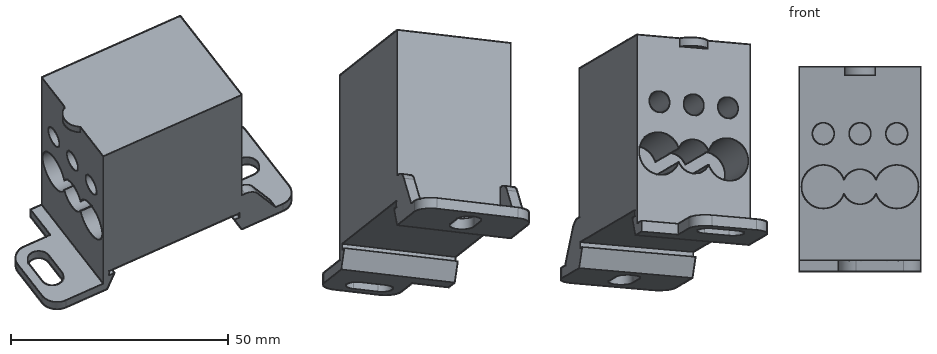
import cadquery as cq

width = 28.0
length = 66.0
height = 47.2
center_x = width / 2

front_wall_y = 14.0
back_wall_y = 51.0
foot_thickness = 2.6
foot_corner_radius = 4.0
notch_width = 9.0
notch_depth = 11.0

channel_center_y = length / 2
channel_height = 6.0
channel_half_length = 17.4
lip_height = 4.55
lip_half_opening = 16.0
mouth_half_opening = 17.95

rib_thickness = 2.6
rib_height = 12.0
rib_foot_y = 60.0
rib_crest_y = 54.05
rib_round_radius = 4.0

back_slot_length = 10.15
back_slot_width = 5.75
back_slot_y = 58.35
front_slot_length = 11.3
front_slot_width = 5.2
front_slot_x = 17.15
front_slot_y = 4.95

bore_pitch = 8.45
bore_depth = 15.0
screw_diameter = 5.0
screw_z = 31.75
cable_z = 19.55
outer_cable_diameter = 10.0
middle_cable_diameter = 8.05

tab_radius = 4.0
tab_projection = 2.0
tab_height = 2.0


def box(x, y, z, size_x, size_y, size_z):
    """Box with its lowest corner at (x, y, z)."""
    return cq.Workplane("XY").box(size_x, size_y, size_z, centered=False).translate((x, y, z))


def make_base_plate():
    plate = box(0, 0, 0, width, length, foot_thickness)
    plate = plate.cut(box(0, 0, 0, notch_width, notch_depth, foot_thickness))
    plate = plate.edges("|Z and (<Y or >Y)").fillet(foot_corner_radius)
    slots = (
        cq.Workplane("XY").center(center_x, back_slot_y)
        .slot2D(back_slot_length, back_slot_width, 90).extrude(foot_thickness)
    )
    front_slot = (
        cq.Workplane("XY").center(front_slot_x, front_slot_y)
        .slot2D(front_slot_length, front_slot_width).extrude(foot_thickness)
    )
    return plate.cut(slots.union(front_slot))


def make_rib(start_x):
    outline = [
        (back_wall_y, 0),
        (rib_foot_y, 0),
        (rib_foot_y, foot_thickness),
        (rib_crest_y, rib_height),
        (back_wall_y, rib_height),
    ]
    rib = cq.Workplane("YZ").polyline(outline).close().extrude(rib_thickness)
    crest = cq.selectors.NearestToPointSelector((rib_thickness / 2, rib_crest_y, rib_height))
    return rib.edges(crest).fillet(rib_round_radius).translate((start_x, 0, 0))


def make_tab():
    disc_y = front_wall_y - tab_projection + tab_radius
    return (
        cq.Workplane("XY", origin=(center_x, disc_y, height - tab_height))
        .circle(tab_radius).extrude(tab_height)
    )


def make_channel():
    front_profile = [
        (-mouth_half_opening, 0),
        (-lip_half_opening, lip_height),
        (-channel_half_length, lip_height),
        (-channel_half_length, channel_height),
    ]
    back_profile = [(-y, z) for y, z in reversed(front_profile)]
    return (
        cq.Workplane("YZ", origin=(0, channel_center_y, 0))
        .polyline(front_profile + back_profile).close().extrude(width)
    )


def make_bore(x, z, diameter):
    return (
        cq.Workplane("XZ", origin=(x, front_wall_y, z))
        .circle(diameter / 2).extrude(-bore_depth)
    )


housing = box(0, front_wall_y, 0, width, back_wall_y - front_wall_y, height)
result = housing.union(make_base_plate()).union(make_tab())
for rib_x in (0, width - rib_thickness):
    result = result.union(make_rib(rib_x))
result = result.cut(make_channel())

for column in (-1, 0, 1):
    bore_x = center_x + column * bore_pitch
    cable_diameter = middle_cable_diameter if column == 0 else outer_cable_diameter
    result = result.cut(make_bore(bore_x, screw_z, screw_diameter))
    result = result.cut(make_bore(bore_x, cable_z, cable_diameter))